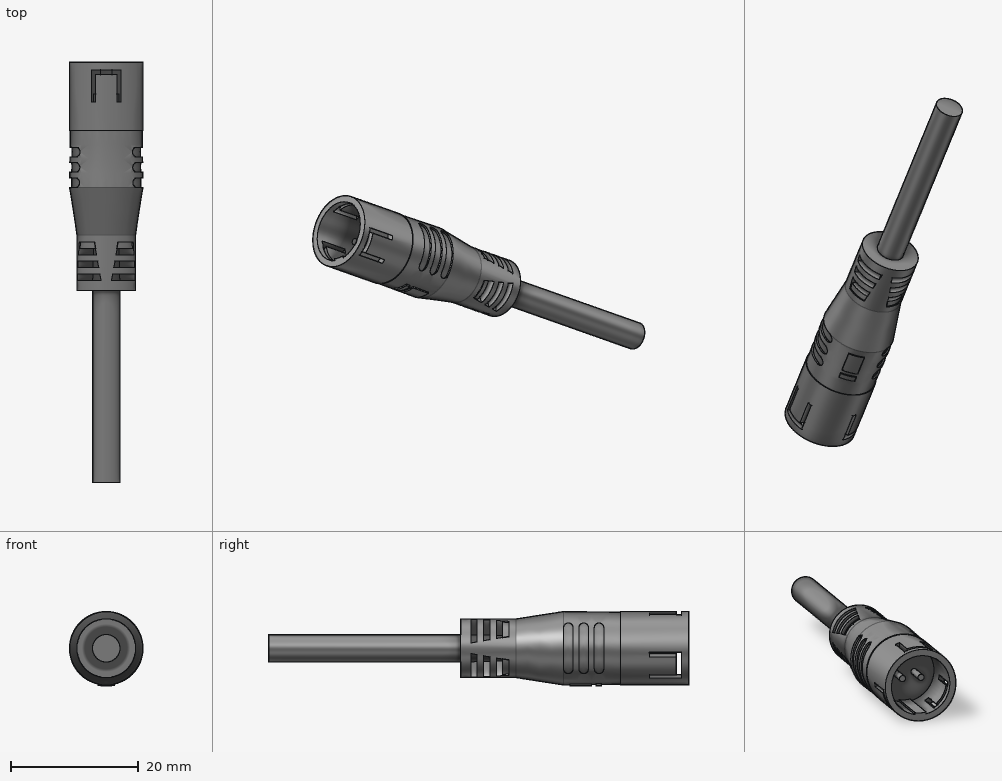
import cadquery as cq
import math


body_radius = 11.5 / 2
boot_radius = 4.6
sleeve_length = 10.7
grip_front_radius = 5.65
grip_end = 19.6
boot_start = 27.0
boot_end = 35.7

cable_radius = 2.15
cable_free_length = 30.0
cable_end = boot_end + cable_free_length

socket_radius = 4.75
socket_depth = 9.0
key_width = 1.8
key_height = 0.3
pin_radius = 0.5
pin_offset = 1.5
pin_tip_depth = 5.0

tongue_angles = (90, 210, 330)
tongue_width = 3.3
tongue_slot_width = 0.65
tongue_tip_depth = 1.95
tongue_tip_gap = 0.75
tongue_root_depth = 6.2
tongue_slot_inner_radius = 3.0

groove_width = 1.5
groove_length = 7.9
groove_pitch = 2.4
groove_count = 3
first_groove_depth = 14.05
groove_sink = 0.3

mark_spans = ((13.7, 14.5), (15.2, 18.6))
mark_height = 0.18
mark_width = 2.6

slot_width = 1.0
slot_pitch = 2.0
slot_count = 3
first_slot_depth = 29.1
slots_end = first_slot_depth + (slot_count - 1) * slot_pitch + slot_width
recess_length = 1.0
recess_sink = 0.2
recess_start = first_slot_depth - recess_length
rib_half_width_start = 1.85
rib_half_width_end = 0.82
rib_angles = (0, 90, 180, 270)

clearance = 1.0


def cylinder(radius, start, end):
    """A cylinder on the Y axis between two depths."""
    return cq.Workplane("XZ", origin=(0, -start, 0)).circle(radius).extrude(end - start)


def ring(inner_radius, outer_radius, start, end):
    """A tube on the Y axis between two depths."""
    return cylinder(outer_radius, start, end).cut(cylinder(inner_radius, start, end))


def block(x_min, x_max, start, end, z_min, z_max):
    """A box between two X values, two depths and two Z values."""
    size = (x_max - x_min, end - start, z_max - z_min)
    return cq.Workplane("XY", origin=(x_min, -end, z_min)).box(*size, centered=False)


def turned(shape, angle):
    """The shape turned about the Y axis, from +X towards +Z for positive angles."""
    return shape.rotate((0, 0, 0), (0, -1, 0), angle)


def make_outer_form():
    """The straight sleeve, the slightly flared grip, the cone and the boot, as one turned profile."""
    profile = [
        (0, 0),
        (0, body_radius),
        (-sleeve_length, body_radius),
        (-sleeve_length, grip_front_radius),
        (-grip_end, body_radius),
        (-boot_start, boot_radius),
        (-boot_end, boot_radius),
        (-boot_end, 0),
    ]
    return cq.Workplane("YZ").polyline(profile).close().revolve(360, (0, 0, 0), (1, 0, 0))


def make_socket():
    """The empty space in the mating end, leaving the key at the bottom and two contact pins."""
    socket = cylinder(socket_radius, 0, socket_depth)
    key_zone = block(-key_width / 2, key_width / 2, 0, socket_depth, -body_radius, 0)
    key = ring(socket_radius - key_height, body_radius, 0, socket_depth).intersect(key_zone)
    pin = cylinder(pin_radius, pin_tip_depth, socket_depth)
    socket = socket.cut(key)
    for side in (-1, 1):
        socket = socket.cut(pin.translate((side * pin_offset, 0, 0)))
    return socket


def make_tongue_slot():
    """The U-shaped slot around one tongue, cut through the +X side of the sleeve."""
    outer_half = tongue_width / 2 + tongue_slot_width
    inner_half = tongue_width / 2
    x_range = (tongue_slot_inner_radius, body_radius + clearance)
    outline = block(*x_range, tongue_tip_depth - tongue_tip_gap, tongue_root_depth, -outer_half, outer_half)
    tongue = block(*x_range, tongue_tip_depth, tongue_root_depth, -inner_half, inner_half)
    return outline.cut(tongue)


def make_grooves():
    """Round-ended finger grooves of even depth on the +X and -X sides."""
    floor_profile = [
        (-sleeve_length, 0),
        (-sleeve_length, grip_front_radius - groove_sink),
        (-grip_end, body_radius - groove_sink),
        (-grip_end, 0),
    ]
    floor = cq.Workplane("YZ").polyline(floor_profile).close().revolve(360, (0, 0, 0), (1, 0, 0))
    skin = cylinder(body_radius + clearance, sleeve_length, grip_end).cut(floor)
    centres = [(-(first_groove_depth + i * groove_pitch), 0) for i in range(groove_count)]
    pills = (
        cq.Workplane("YZ")
        .pushPoints(centres)
        .slot2D(groove_length, groove_width, 90)
        .extrude(body_radius + clearance, both=True)
    )
    return skin.intersect(pills)


def make_mark(start, end):
    """A raised mark that follows the round underside of the grip."""
    root_radius = body_radius - mark_height
    zone = block(-mark_width / 2, mark_width / 2, start, end, -body_radius - clearance, 0)
    return ring(root_radius, body_radius + mark_height, start, end).intersect(zone)


def make_rib():
    """A tapering rib on the +X side; its faces stay radial and close in towards the cable exit."""
    reach = body_radius + clearance

    def section(half_width):
        edge_slope = half_width / math.sqrt(boot_radius**2 - half_width**2)
        return [(0, 0), (reach, -reach * edge_slope), (reach, reach * edge_slope)]

    return (
        cq.Workplane("XZ", origin=(0, -recess_start, 0))
        .polyline(section(rib_half_width_start))
        .close()
        .workplane(offset=slots_end - recess_start)
        .polyline(section(rib_half_width_end))
        .close()
        .loft(ruled=True)
    )


def make_relief_slots():
    """The ring slots and the shallow recess ahead of them, interrupted by the ribs."""
    outer = boot_radius + clearance
    rings = [ring(boot_radius - recess_sink, outer, recess_start, first_slot_depth)]
    for i in range(slot_count):
        start = first_slot_depth + i * slot_pitch
        rings.append(ring(cable_radius, outer, start, start + slot_width))
    rib = make_rib()
    for angle in rib_angles:
        rings = [piece.cut(turned(rib, angle)) for piece in rings]
    return rings


def make_housing():
    housing = make_outer_form().cut(make_socket())
    for angle in tongue_angles:
        housing = housing.cut(turned(make_tongue_slot(), angle))
    housing = housing.cut(make_grooves())
    for start, end in mark_spans:
        housing = housing.union(make_mark(start, end))
    housing = housing.cut(cylinder(cable_radius, boot_start, boot_end))
    for piece in make_relief_slots():
        housing = housing.cut(piece)
    return housing


def make_cable():
    return cylinder(cable_radius, boot_start, cable_end)


housing = make_housing()
cable = make_cable()
result = cq.Compound.makeCompound([housing.val(), cable.val()])